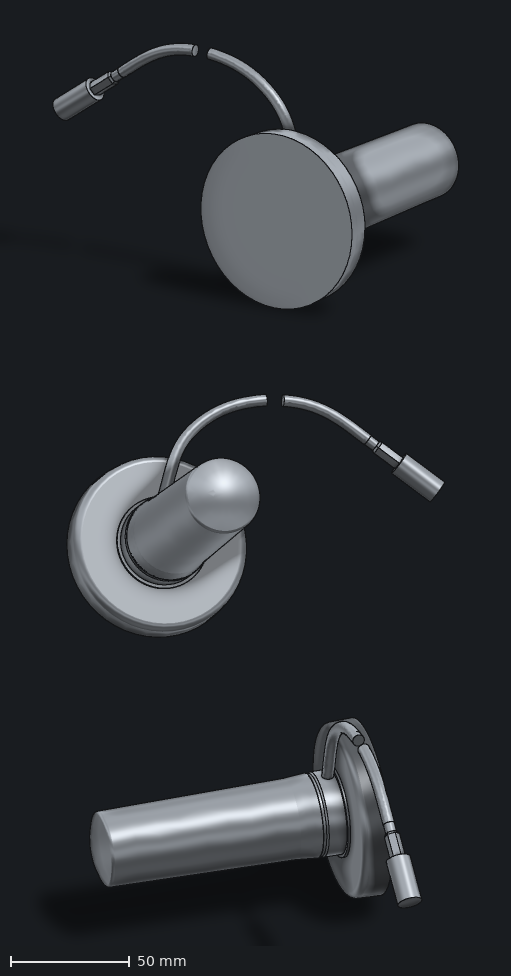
import cadquery as cq
import math


base_radius = 38.1
base_shoulder_radius = 37.6
base_height = 12.8
base_shoulder_fillet = 3.0

flange_radius = 19.7
flange_top = 14.0
neck_radius = 18.2
neck_top = 21.8
groove_radius = 17.8
groove_bottom = 22.7
groove_top = 24.2

skirt_top = 33.8
skirt_top_radius = 17.5
dome_edge_radius = 16.3
dome_edge_height = 116.4
dome_edge_fillet = 1.6
radome_top = 120.4

cable_radius = 2.5
cable_height = 16.8
base_cable_end = (-44.3, 62.9)
base_cable_path = [(-22.9, 56.5), (-9.8, 45.5)]
base_cable_root = (0.6, 17.3)
base_cable_end_angle = -7.0
base_cable_root_angle = -74.0
plug_cable_end = (-51.7, 63.0)
plug_cable_end_angle = 0.0

plug_angle = 34.5
nut_radius = 5.3
nut_length = 20.3
hex_corner_diameter = 6.7
hex_length = 12.2
hex_chamfer_depth = 0.5
hex_chamfer_length = 1.1
hex_turn = -16.0
collar_radius = 2.4
collar_length = 4.3

overall_length = 160.0
plug_tip_x = base_radius - overall_length + nut_radius * math.sin(math.radians(plug_angle))
plug_tip_z = 27.2
plug_tip = (plug_tip_x, plug_tip_z)


def revolve_about_y(profile):
    return profile.close().revolve(360, (0, 0, 0), (0, 1, 0))


def direction(angle):
    """Unit vector in the XZ plane, at an angle measured from +X towards +Z."""
    return cq.Vector(math.cos(math.radians(angle)), 0, math.sin(math.radians(angle)))


def cable_point(place):
    """Point at cable height from its (x, z) place."""
    return cq.Vector(place[0], cable_height, place[1])


def make_base():
    profile = (
        cq.Workplane("XY")
        .lineTo(base_radius, 0)
        .lineTo(base_shoulder_radius, base_height)
        .lineTo(0, base_height)
    )
    return revolve_about_y(profile).faces(">Y").edges().fillet(base_shoulder_fillet)


def make_neck():
    profile = (
        cq.Workplane("XY")
        .moveTo(0, base_height)
        .lineTo(flange_radius, base_height)
        .lineTo(flange_radius, flange_top)
        .lineTo(neck_radius, flange_top)
        .lineTo(neck_radius, neck_top)
        .lineTo(groove_radius, groove_bottom)
        .lineTo(groove_radius, groove_top)
        .lineTo(0, groove_top)
    )
    return revolve_about_y(profile)


def make_radome():
    dome_rise = radome_top - dome_edge_height
    dome_sphere_radius = (dome_edge_radius**2 + dome_rise**2) / (2 * dome_rise)
    profile = (
        cq.Workplane("XY")
        .moveTo(0, groove_top)
        .lineTo(neck_radius, groove_top)
        .lineTo(skirt_top_radius, skirt_top)
        .lineTo(dome_edge_radius, dome_edge_height)
        .radiusArc((0, radome_top), -dome_sphere_radius)
    )
    radome = revolve_about_y(profile)
    dome_edge_centre = (0, dome_edge_height, 0)
    return radome.edges(cq.selectors.NearestToPointSelector(dome_edge_centre)).fillet(dome_edge_fillet)


def make_cable(points, start_angle, end_angle):
    """Round cable along a smooth curve that starts and ends at the given angles."""
    tangents = [direction(start_angle), direction(end_angle)]
    path = cq.Workplane(cq.Edge.makeSpline(points, tangents=tangents))
    start_plane = cq.Plane(origin=points[0], xDir=(0, 1, 0), normal=tangents[0])
    return cq.Workplane(start_plane).circle(cable_radius).sweep(path)


def make_base_cable(neck):
    """Cable that ends on the curved side of the neck."""
    places = [base_cable_end, *base_cable_path, base_cable_root]
    points = [cable_point(place) for place in places]
    return make_cable(points, base_cable_end_angle, base_cable_root_angle).cut(neck)


def make_plug_cable():
    """Cable that leaves the collar of the plug along the plug axis."""
    plug_length = nut_length + hex_length + collar_length
    start = cable_point(plug_tip) + direction(plug_angle) * plug_length
    return make_cable([start, cable_point(plug_cable_end)], plug_angle, plug_cable_end_angle)


def make_plug():
    axis_plane = cq.Plane(origin=cable_point(plug_tip), xDir=(0, 1, 0), normal=direction(plug_angle))
    nut = cq.Workplane(axis_plane).circle(nut_radius).extrude(nut_length)
    grip = (
        cq.Workplane(axis_plane)
        .workplane(offset=nut_length)
        .transformed(rotate=(0, 0, hex_turn))
        .polygon(6, hex_corner_diameter)
        .extrude(hex_length)
        .faces(cq.selectors.DirectionMinMaxSelector(direction(plug_angle), True))
        .chamfer(hex_chamfer_length, hex_chamfer_depth)
    )
    collar = (
        cq.Workplane(axis_plane)
        .workplane(offset=nut_length + hex_length)
        .circle(collar_radius)
        .extrude(collar_length)
    )
    return nut.union(grip).union(collar)


base = make_base()
neck = make_neck()
radome = make_radome()
base_cable = make_base_cable(neck)
plug_cable = make_plug_cable()
plug = make_plug()

bodies = [base, neck, radome, base_cable, plug_cable, plug]
result = cq.Compound.makeCompound([body.solids().val() for body in bodies])